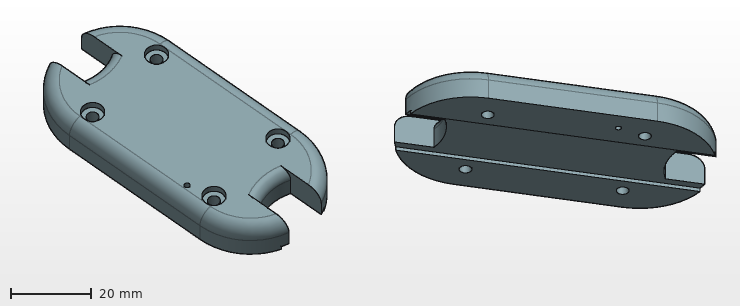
import cadquery as cq

body_width = 38.0
body_height = 9.5
end_center_x = 21.5
end_radius = body_width / 2
rim_radius = 3.95

slot_width = 12.1
slot_wall_x = 28.1
slot_wall_radius = 13.8
slot_edge_radius = 3.0

channel_width = 16.0
channel_depth = 1.0

screw_x = 20.0
screw_y = 12.0
screw_diameter = 3.2
counterbore_diameter = 6.0
counterbore_depth = 2.0

pin_diameter = 1.5
pin_x = 12.8
pin_y = -13.9

body_length = 2 * (end_center_x + end_radius)


def make_body():
    blank = cq.Workplane("XY").slot2D(body_length, body_width).extrude(body_height)
    return blank.faces(">Z").edges().fillet(rim_radius)


def make_end_slot(side):
    """Cutter for one end: a flared round hole, limited to the slot width."""
    flare_start_z = body_height - slot_edge_radius
    flare_radius = slot_wall_radius + slot_edge_radius
    flare_offset = slot_edge_radius * 0.5**0.5
    flare_middle = (flare_radius - flare_offset, flare_start_z + flare_offset)
    center_x = side * (slot_wall_x + slot_wall_radius)
    flared_hole = (
        cq.Workplane("XZ")
        .lineTo(slot_wall_radius, 0)
        .lineTo(slot_wall_radius, flare_start_z)
        .threePointArc(flare_middle, (flare_radius, body_height))
        .lineTo(0, body_height)
        .close()
        .revolve(360, (0, 0, 0), (0, 1, 0))
        .translate((center_x, 0, 0))
    )
    slot_limits = (
        cq.Workplane("XY")
        .center(center_x, 0)
        .rect(2 * flare_radius, slot_width)
        .extrude(body_height)
    )
    return flared_hole.intersect(slot_limits)


def make_channel():
    return cq.Workplane("XY").rect(body_length, channel_width).extrude(channel_depth)


result = make_body()
for side in (-1, 1):
    result = result.cut(make_end_slot(side))
result = result.cut(make_channel())

top_plane = cq.Workplane("XY").workplane(offset=body_height)
screw_holes = top_plane.rect(2 * screw_x, 2 * screw_y, forConstruction=True).vertices()
result = result.cut(screw_holes.circle(screw_diameter / 2).extrude(-body_height))
result = result.cut(screw_holes.circle(counterbore_diameter / 2).extrude(-counterbore_depth))

pin_hole = top_plane.center(pin_x, pin_y).circle(pin_diameter / 2).extrude(-body_height)
result = result.cut(pin_hole)